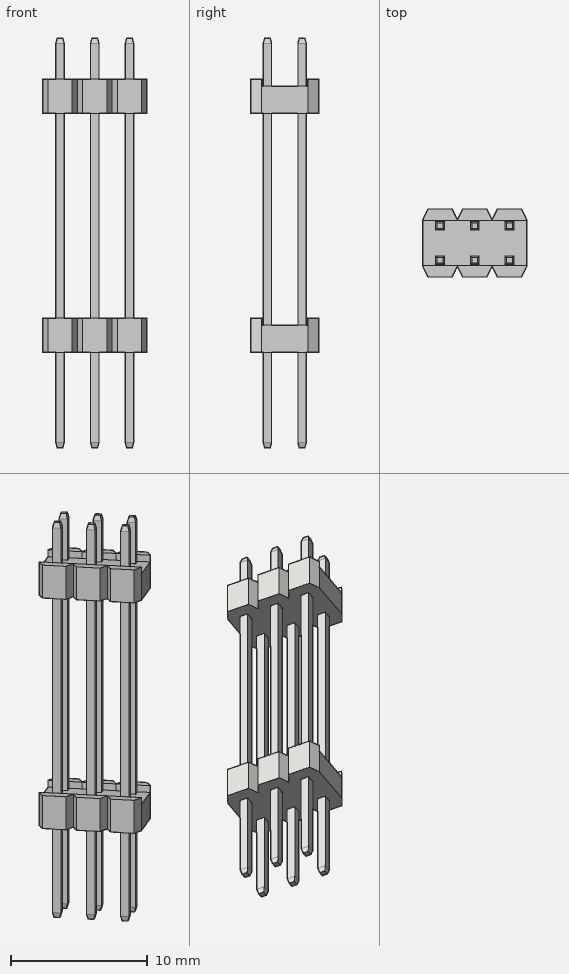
import cadquery as cq

columns = 3
rows = 2
carrier_length = 7.62
pitch = carrier_length / columns

pin_length = 30.0
pin_side = 0.63
tip_height = 0.4
tip_side = 0.42

carrier_depth = 5.0
carrier_height = carrier_depth / 2
floor_width = 3.3
floor_recess = 0.5
rail_web = 0.05
rail_face_length = 1.77
upper_pin_exposure = 3.0
upper_carrier_bottom = pin_length - upper_pin_exposure - carrier_height
lower_carrier_bottom = 7.0

column_positions = [(i - (columns - 1) / 2) * pitch for i in range(columns)]
row_positions = [(i - (rows - 1) / 2) * pitch for i in range(rows)]
pin_centres = [(x, y) for x in column_positions for y in row_positions]


def make_tip(base_height, end_height):
    """Pyramid frustum tapering from the pin section to its blunt end."""
    return (
        cq.Workplane("XY", origin=(0, 0, base_height))
        .rect(pin_side, pin_side)
        .workplane(offset=end_height - base_height)
        .rect(tip_side, tip_side)
        .loft(ruled=True)
    )


def make_pin():
    """Square pin with a tapered tip at both ends, standing on Z = 0."""
    shaft = cq.Workplane("XY", origin=(0, 0, tip_height)).box(
        pin_side, pin_side, pin_length - 2 * tip_height, centered=(True, True, False)
    )
    lower_tip = make_tip(tip_height, 0)
    upper_tip = make_tip(pin_length - tip_height, pin_length)
    return shaft.union(lower_tip).union(upper_tip)


def make_rail_segment(x, side):
    """Rail segment tapering outward beside one column; side is -1 or +1 along Y."""
    inner_y = side * floor_width / 2
    notch_y = side * (floor_width / 2 + rail_web)
    outer_y = side * carrier_depth / 2
    outline = [
        (x - pitch / 2, inner_y),
        (x + pitch / 2, inner_y),
        (x + pitch / 2, notch_y),
        (x + rail_face_length / 2, outer_y),
        (x - rail_face_length / 2, outer_y),
        (x - pitch / 2, notch_y),
    ]
    return cq.Workplane("XY").polyline(outline).close().extrude(carrier_height)


def make_carrier():
    """Block with a recessed floor between two notched rails."""
    carrier = cq.Workplane("XY").box(
        carrier_length, floor_width, carrier_height - floor_recess, centered=(True, True, False)
    )
    for x in column_positions:
        for side in (-1, 1):
            carrier = carrier.union(make_rail_segment(x, side))
    return carrier


carrier = make_carrier()
result = carrier.translate((0, 0, lower_carrier_bottom))
result = result.union(carrier.translate((0, 0, upper_carrier_bottom)))

pin = make_pin()
for x, y in pin_centres:
    result = result.union(pin.translate((x, y, 0)))